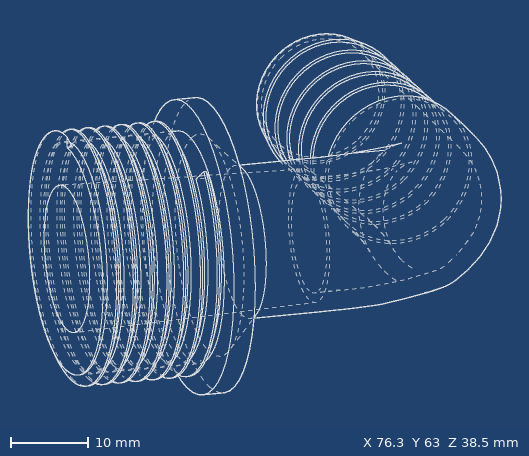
import cadquery as cq
import math

overall_length = 76.25
flange_diameter = 38.5
flange_radius = flange_diameter / 2
tube_diameter = 20.0
tube_radius = tube_diameter / 2
bore_radius = 7.5
overall_depth = 63.0
tip_distance = overall_length - flange_radius
thread_end_distance = overall_depth - tube_radius

bend_distance = tube_diameter
bend_outer_radius = 25.6
bend_sections = 6

barb_count = 6
barb_pitch = 4.95
barb_radius = 9.6
barb_root_radius = 9.2
tip_radius = 8.8
tip_chamfer = 0.2
hose_mouth_radius = 8.0
shoulder_distance = 23.95
barb_collar_length = 2.6

cone_distance = 29.05
flange_distance = 33.55
flange_thickness = 2.9
cone_radius = tube_radius + flange_distance - cone_distance
thread_base_distance = flange_distance + flange_thickness
inlet_mouth_radius = 19.2 / 2
inlet_inner_radius = 8.7

thread_pitch = 2.3
thread_root_radius = 15.2
thread_crest_radius = 16.7
thread_root_width = 2.0
thread_crest_width = 0.3
thread_embed = 0.15
thread_start_angle = 53.0
thread_end_angle = 90.0
thread_full_turns = 7
thread_turns = thread_full_turns - (thread_end_angle - thread_start_angle) / 360
thread_pieces = 14


def bend_section(angle, radius):
    """Elliptical section of the bend in a plane turned about the bend pivot."""
    wall = tube_radius - radius
    outer_radius = bend_outer_radius - wall
    centre_offset = bend_distance + radius - outer_radius
    dir_x = math.sin(angle)
    dir_y = math.cos(angle)
    inner = (bend_distance - radius) / dir_y
    along = centre_offset * (dir_x + dir_y)
    across = centre_offset * (dir_x - dir_y)
    outer_on_arc = along + math.sqrt(outer_radius**2 - across**2)
    outer_on_side = (bend_distance + radius) / dir_y
    before_arc = outer_on_side * dir_x < centre_offset
    outer = outer_on_side if before_arc else outer_on_arc
    middle = (inner + outer) / 2
    centre = cq.Vector(middle * dir_x - bend_distance, middle * dir_y - bend_distance, 0)
    normal = cq.Vector(dir_y, -dir_x, 0)
    half_width = (outer - inner) / 2
    if half_width > radius:
        in_plane = cq.Vector(dir_x, dir_y, 0)
        return cq.Wire.makeEllipse(half_width, radius, centre, normal, in_plane, 270, 630, closed=False)
    return cq.Wire.makeEllipse(radius, half_width, centre, normal, cq.Vector(0, 0, -1))


def bend(radius):
    """Quarter bend of two mirrored halves that meet on the diagonal."""
    step = math.radians(45) / bend_sections
    sections = [bend_section(i * step, radius) for i in range(bend_sections + 1)]
    half = cq.Solid.makeLoft(sections)
    other_half = half.mirror(cq.Vector(1, -1, 0))
    return cq.Workplane(half).union(other_half)


def hose_tail():
    """Barbed hose tail and the plain tube up to the bend."""
    last_barb = -shoulder_distance - barb_collar_length
    profile = cq.Workplane("XY").moveTo(-tip_distance, 0)
    profile = profile.lineTo(-tip_distance, tip_radius - tip_chamfer)
    profile = profile.lineTo(-tip_distance + tip_chamfer, tip_radius)
    for i in range(barb_count):
        barb_edge = last_barb - (barb_count - 1 - i) * barb_pitch
        profile = profile.lineTo(barb_edge, barb_radius)
        if i < barb_count - 1:
            profile = profile.lineTo(barb_edge, barb_root_radius)
    profile = (
        profile.lineTo(-shoulder_distance, barb_radius)
        .lineTo(-shoulder_distance, tube_radius)
        .lineTo(-bend_distance, tube_radius)
        .lineTo(-bend_distance, 0)
        .close()
    )
    return profile.revolve(360, (0, 0, 0), (1, 0, 0))


def flanged_end():
    """Tube, cone, flange and thread core below the bend."""
    return (
        cq.Workplane("XY")
        .moveTo(0, -bend_distance)
        .lineTo(tube_radius, -bend_distance)
        .lineTo(tube_radius, -cone_distance)
        .lineTo(cone_radius, -flange_distance)
        .lineTo(flange_radius, -flange_distance)
        .lineTo(flange_radius, -thread_base_distance)
        .lineTo(thread_root_radius, -thread_base_distance)
        .lineTo(thread_root_radius, -thread_end_distance)
        .lineTo(0, -thread_end_distance)
        .close()
        .revolve(360, (0, 0, 0), (0, 1, 0))
    )


def thread_piece():
    """First short length of the helical ridge, starting below the flange."""
    inner_radius = thread_root_radius - thread_embed
    rise = thread_pitch * thread_turns / thread_pieces
    helix = cq.Wire.makeHelix(thread_pitch, rise, inner_radius, lefthand=True)
    return (
        cq.Workplane("XZ")
        .moveTo(inner_radius, -thread_root_width / 2)
        .lineTo(thread_crest_radius, -thread_crest_width / 2)
        .lineTo(thread_crest_radius, thread_crest_width / 2)
        .lineTo(inner_radius, thread_root_width / 2)
        .close()
        .sweep(cq.Workplane(helix), isFrenet=True)
        .rotate((0, 0, 0), (0, 0, 1), thread_start_angle)
        .rotate((0, 0, 0), (1, 0, 0), 90)
        .translate((0, -thread_base_distance - thread_root_width / 2, 0))
    )


def add_thread(body):
    """Join the ridge to the body piece by piece and trim it flush with the end face."""
    piece = thread_piece()
    turns_per_piece = thread_turns / thread_pieces
    for i in range(thread_pieces):
        turns = i * turns_per_piece
        placed = piece.rotate((0, 0, 0), (0, 1, 0), turns * 360)
        body = body.union(placed.translate((0, -turns * thread_pitch, 0)))
    beyond_end = (
        cq.Workplane("XZ", origin=(0, -thread_end_distance, 0))
        .circle(flange_radius)
        .extrude(2 * thread_pitch)
    )
    return body.cut(beyond_end)


def passage():
    """Hose bore, bend bore and tapered inlet."""
    hose_bore = (
        cq.Workplane("YZ", origin=(-tip_distance, 0, 0))
        .circle(hose_mouth_radius)
        .workplane(offset=tip_distance - bend_distance)
        .circle(bore_radius)
        .loft()
    )
    inlet = (
        cq.Workplane("XZ", origin=(0, -bend_distance, 0))
        .circle(inlet_inner_radius)
        .workplane(offset=thread_end_distance - bend_distance)
        .circle(inlet_mouth_radius)
        .loft()
    )
    return hose_bore.union(bend(bore_radius)).union(inlet)


threaded_end = add_thread(flanged_end())
body = hose_tail().union(bend(tube_radius)).union(threaded_end)
result = body.cut(passage())